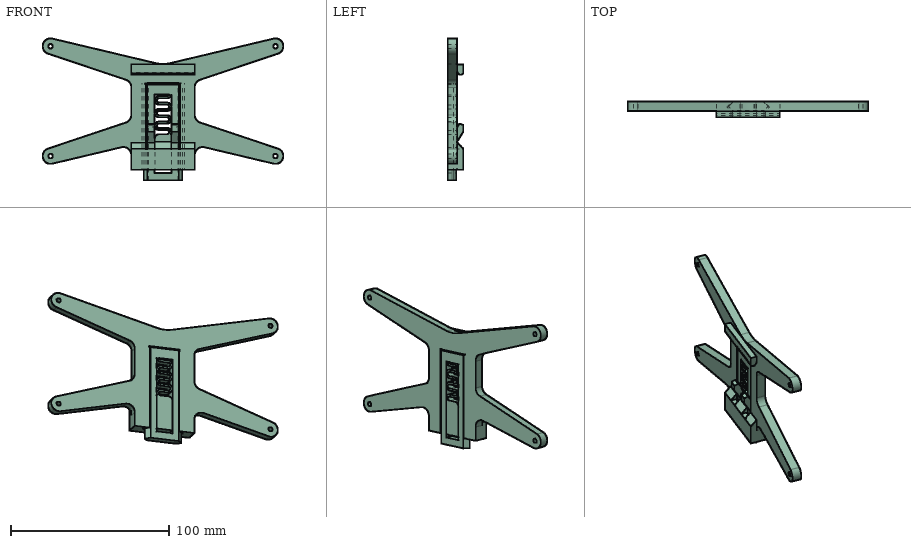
import cadquery as cq
import math


total_width = 152.2
total_depth = 10.0
total_height = 89.8

plate_depth = 6.1
tip_radius = 5.0
hole_diameter = 2.7
hole_x = total_width / 2 - tip_radius
hole_z = 34.7
body_half_width = 20.1
body_bottom = -43.4
arm_corner_z = 12.3
arm_apex_z = 23.0
inner_corner_radius = 5.0
apex_radius = 21.3

slot_top = 11.4
slot_front_half_width = 10.8
slot_back_half_width = 9.9

slider_depth = 5.6
slider_top = 10.7
slider_bottom = hole_z + tip_radius - total_height
slider_front_half_width = 9.9
ridge_radius = 0.6
window_half_width = 5.3
window_top = 4.1
window_bottom = -45.4

window_clearance = 0.08
spring_half_width = window_half_width - window_clearance
spring_thickness = 1.45
spring_run_count = 6
first_run_z = 2.5
tongue_top = -20.9
last_run_z = tongue_top - spring_thickness / 2
spring_pitch = (first_run_z - last_run_z) / spring_run_count
turn_radius = spring_pitch / 2
turn_outer_radius = turn_radius + spring_thickness / 2
turn_inner_radius = turn_radius - spring_thickness / 2
turn_x = spring_half_width - turn_outer_radius

bar_top = 23.3
bar_tip = 16.6
bar_root = 18.4
bar_front_edge = 17.5
clamp_edge_z = -30.1
hook_tip = -14.2
hook_root = -16.3
hook_front_top = -15.0
hook_front_bottom = -19.3
hook_slope_bottom = -26.3
jaw_tip_setback = 2.6
bar_tip_width = 1.2


def front_box(half_width, bottom, top, near, far):
    """Box centred on X that spans two distances in front of the back face."""
    return (
        cq.Workplane("XZ", origin=(0, -near, 0))
        .center(0, (bottom + top) / 2)
        .rect(2 * half_width, top - bottom)
        .extrude(far - near)
    )


def prism_along_x(points, x_start, x_end):
    """Extrude (distance from back, Z) points between two X positions."""
    outline = [(-distance, z) for distance, z in points]
    return cq.Workplane("YZ", origin=(x_start, 0, 0)).polyline(outline).close().extrude(x_end - x_start)


def prism_along_z(half_profile, bottom, top):
    """Extrude a mirrored (half width, distance from back) profile along Z."""
    right = [(x, -distance) for x, distance in half_profile]
    left = [(-x, -distance) for x, distance in reversed(half_profile)]
    return cq.Workplane("XY", origin=(0, 0, bottom)).polyline(right + left).close().extrude(top - bottom)


def tip_tangent(point, side):
    """Touch point on the upper right arm tip of a line from the given point."""
    dx = point[0] - hole_x
    dz = point[1] - hole_z
    angle = math.atan2(dz, dx) + side * math.acos(tip_radius / math.hypot(dx, dz))
    return (hole_x + tip_radius * math.cos(angle), hole_z + tip_radius * math.sin(angle))


def mirrored_z(point):
    """Mirror an (X, Z) point between the upper and lower arms."""
    return (point[0], -point[1])


def round_edge(solid, x, depth, z, radius):
    """Round the edge along Y that lies nearest to the given X and Z."""
    nearest = cq.selectors.NearestToPointSelector((x, -depth / 2, z))
    return solid.edges("|Y").edges(nearest).fillet(radius)


def make_plate():
    """Plate body with four arms, rounded corners and arm holes."""
    apex = (0, arm_apex_z)
    inner_corner = (body_half_width, arm_corner_z)
    outer_touch = tip_tangent(apex, -1)
    inner_touch = tip_tangent(inner_corner, 1)
    tip_end = (hole_x + tip_radius, hole_z)
    arm_slope = (outer_touch[1] - apex[1]) / outer_touch[0]
    lower_corner = (body_half_width, -arm_apex_z - arm_slope * body_half_width)

    outline = (
        cq.Workplane("XZ")
        .moveTo(*apex)
        .lineTo(*outer_touch)
        .threePointArc(tip_end, inner_touch)
        .lineTo(*inner_corner)
        .lineTo(*mirrored_z(inner_corner))
        .lineTo(*mirrored_z(inner_touch))
        .threePointArc(mirrored_z(tip_end), mirrored_z(outer_touch))
        .lineTo(*lower_corner)
        .lineTo(body_half_width, body_bottom)
        .lineTo(0, body_bottom)
        .close()
    )
    right_half = outline.extrude(plate_depth)
    plate = right_half.union(right_half.mirror("YZ"))

    for x, z in (inner_corner, mirrored_z(inner_corner), lower_corner):
        for side in (-1, 1):
            plate = round_edge(plate, side * x, plate_depth, z, inner_corner_radius)
    plate = round_edge(plate, 0, plate_depth, arm_apex_z, apex_radius)

    holes = cq.Workplane("XZ").rect(2 * hole_x, 2 * hole_z, forConstruction=True).vertices()
    return plate.cut(holes.circle(hole_diameter / 2).extrude(plate_depth))


def make_upper_bar():
    """Fixed rail jaw across the plate, undercut behind its lower tip."""
    tip = total_depth - jaw_tip_setback
    profile = [
        (plate_depth, bar_top),
        (total_depth, bar_top),
        (total_depth, bar_front_edge),
        (tip + bar_tip_width, bar_tip),
        (tip, bar_tip),
        (plate_depth, bar_root),
    ]
    return prism_along_x(profile, -body_half_width, body_half_width)


def make_clamp(half_width, back):
    """Clamp block with a 45 degree upper face, starting at the given distance from the back."""
    slope_top = clamp_edge_z + total_depth - back
    profile = [
        (back, slope_top),
        (total_depth, clamp_edge_z),
        (total_depth, body_bottom),
        (back, body_bottom),
    ]
    return prism_along_x(profile, -half_width, half_width)


def cut_slot(body):
    """Cut the V-sided slot and open it to the front above the clamp edge."""
    ridge_distance = (slot_front_half_width + plate_depth - slot_back_half_width) / 2
    half_profile = [
        (slot_back_half_width, 0),
        (slot_back_half_width + ridge_distance, ridge_distance),
        (slot_front_half_width, plate_depth),
    ]
    slot = prism_along_z(half_profile, body_bottom, slot_top)
    opening = front_box(slot_front_half_width, clamp_edge_z, slot_top, plate_depth, total_depth)
    return body.cut(slot).cut(opening)


def make_slider():
    """Slider with 45 degree sides, rounded side ridges and a spring window."""
    ridge_distance = plate_depth / 2
    ridge_half_width = slider_front_half_width + slider_depth - ridge_distance
    half_profile = [
        (ridge_half_width - ridge_distance, 0),
        (ridge_half_width, ridge_distance),
        (slider_front_half_width, slider_depth),
    ]
    slider = prism_along_z(half_profile, slider_bottom, slider_top)
    slider = slider.edges("|Z").edges("<X or >X").fillet(ridge_radius)
    return slider.cut(front_box(window_half_width, window_bottom, window_top, 0, slider_depth))


def make_hooks():
    """Rail hooks on both side rails of the slider."""
    profile = [
        (slider_depth, hook_root),
        (plate_depth, hook_root),
        (total_depth - jaw_tip_setback, hook_tip),
        (total_depth, hook_front_top),
        (total_depth, hook_front_bottom),
        (slider_depth, hook_slope_bottom),
    ]
    right = prism_along_x(profile, window_half_width, slider_front_half_width)
    return right.union(right.mirror("YZ"))


def make_turn(side, z):
    """Half ring that joins two spring runs on the left (-1) or right (1)."""
    ring = (
        cq.Workplane("XZ")
        .center(side * turn_x, z)
        .circle(turn_outer_radius)
        .circle(turn_inner_radius)
        .extrude(slider_depth)
    )
    half = (
        cq.Workplane("XZ")
        .center(side * (turn_x + turn_outer_radius / 2), z)
        .rect(turn_outer_radius, 2 * turn_outer_radius)
        .extrude(slider_depth)
    )
    return ring.intersect(half)


def make_spring():
    """Meandering spring that joins the top of the slider window to the tongue."""
    top_turn_z = first_run_z + turn_radius
    above_window = front_box(window_half_width, window_top, top_turn_z + spring_pitch, 0, slider_depth)
    spring = make_turn(1, top_turn_z).cut(above_window)
    half_thickness = spring_thickness / 2
    for run in range(spring_run_count):
        z = first_run_z - run * spring_pitch
        spring = spring.union(front_box(turn_x, z - half_thickness, z + half_thickness, 0, slider_depth))
        side = -1 if run % 2 == 0 else 1
        spring = spring.union(make_turn(side, z - turn_radius))
    return spring


def make_tongue():
    """Fixed block inside the slider window, with one corner rounded like a spring turn."""
    tongue = front_box(spring_half_width, body_bottom, tongue_top, 0, slider_depth)
    tongue = round_edge(tongue, -spring_half_width, slider_depth, tongue_top, turn_outer_radius)
    return tongue.union(make_clamp(spring_half_width, slider_depth))


body = make_plate().union(make_upper_bar()).union(make_clamp(body_half_width, plate_depth))
body = cut_slot(body)
result = body.union(make_tongue()).union(make_spring()).union(make_slider()).union(make_hooks())